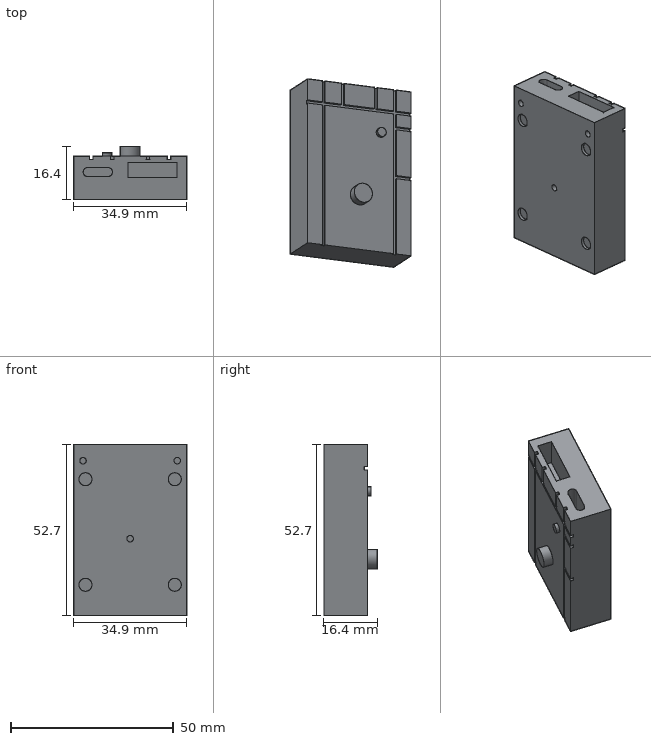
import cadquery as cq

WIDTH = 34.86
DEPTH = 13.4
HEIGHT = 52.7

KNOB_DIAMETER = 6.1
KNOB_LENGTH = 3.0
KNOB_X = 0.0
KNOB_Z = 17.35
BUTTON_DIAMETER = 2.9
BUTTON_LENGTH = 1.1
BUTTON_X = -7.1
BUTTON_Z = 38.3

GROOVE = 1.0
SIDE_GROOVE_X = 12.0
INNER_GROOVE_X = 5.5
TOP_GROOVE_Z = 45.4
SHORT_GROOVE_HEIGHTS = (24.7, 40.4)

WINDOW_LENGTH = 15.2
WINDOW_WIDTH = 4.5
WINDOW_X = 6.9
WINDOW_Y = 9.15
SLOT_LENGTH = 9.0
SLOT_WIDTH = 2.8
SLOT_X = -9.95
SLOT_Y = 8.5
OPENING_DEPTH = 10.0

MAGNET_DIAMETER = 4.0
MAGNET_DEPTH = 1.0
MAGNET_X = 13.75
MAGNET_HEIGHTS = (9.5, 42.0)
PIN_DIAMETER = 2.0
PIN_DEPTH = 5.0
PIN_X = 14.5
PIN_Z = 47.7
CENTER_PIN_Z = 23.7


def y_cylinder(diameter, length, x, y, z):
    """Cylinder that starts at (x, y, z) and runs toward +Y."""
    start = cq.Vector(x, y, z)
    return cq.Workplane(cq.Solid.makeCylinder(diameter / 2, length, start, cq.Vector(0, 1, 0)))


def back_groove(x_start, x_end, z_start, z_end):
    """Cutter for a groove of constant depth in the back face."""
    return (
        cq.Workplane("XY")
        .box(x_end - x_start, GROOVE, z_end - z_start, centered=False)
        .translate((x_start, DEPTH - GROOVE, z_start))
    )


def vertical_groove(x, z_start):
    """Groove centred on x that runs from z_start up to the top face."""
    return back_groove(x - GROOVE / 2, x + GROOVE / 2, z_start, HEIGHT)


def horizontal_groove(z, x_end):
    """Groove centred on z that runs from the -X side to x_end."""
    return back_groove(-WIDTH / 2, x_end, z - GROOVE / 2, z + GROOVE / 2)


def cut_grooves(part):
    part = part.cut(horizontal_groove(TOP_GROOVE_Z, WIDTH / 2))
    for side in (-1, 1):
        part = part.cut(vertical_groove(side * SIDE_GROOVE_X, 0))
        part = part.cut(vertical_groove(side * INNER_GROOVE_X, TOP_GROOVE_Z))
    for z in SHORT_GROOVE_HEIGHTS:
        part = part.cut(horizontal_groove(z, -SIDE_GROOVE_X))
    return part


def cut_top_openings(part):
    top = cq.Workplane("XY", origin=(0, 0, HEIGHT))
    window = top.center(WINDOW_X, WINDOW_Y).rect(WINDOW_LENGTH, WINDOW_WIDTH).extrude(-OPENING_DEPTH)
    slot = top.center(SLOT_X, SLOT_Y).slot2D(SLOT_LENGTH, SLOT_WIDTH).extrude(-OPENING_DEPTH)
    return part.cut(window).cut(slot)


def cut_front_recesses(part):
    for side in (-1, 1):
        for z in MAGNET_HEIGHTS:
            part = part.cut(y_cylinder(MAGNET_DIAMETER, MAGNET_DEPTH, side * MAGNET_X, 0, z))
        part = part.cut(y_cylinder(PIN_DIAMETER, PIN_DEPTH, side * PIN_X, 0, PIN_Z))
    return part.cut(y_cylinder(PIN_DIAMETER, PIN_DEPTH, 0, 0, CENTER_PIN_Z))


def add_bosses(part):
    part = part.union(y_cylinder(KNOB_DIAMETER, KNOB_LENGTH, KNOB_X, DEPTH, KNOB_Z))
    return part.union(y_cylinder(BUTTON_DIAMETER, BUTTON_LENGTH, BUTTON_X, DEPTH, BUTTON_Z))


block = cq.Workplane("XY").box(WIDTH, DEPTH, HEIGHT, centered=(True, False, False))
block = cut_grooves(block)
block = cut_top_openings(block)
block = cut_front_recesses(block)
result = add_bosses(block)